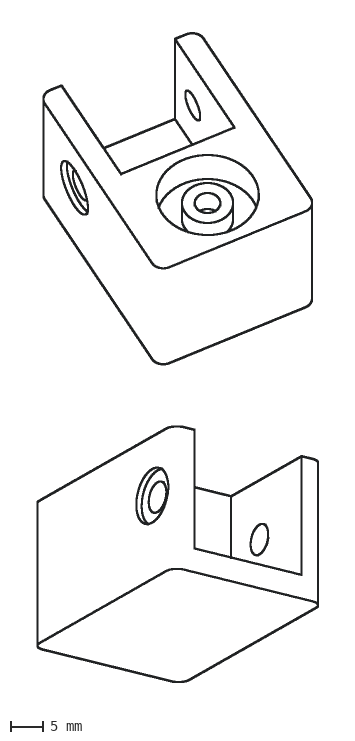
import cadquery as cq

length = 40.0
width = 28.0
height = 24.0
corner_radius = 2.0

wall = 4.0
slot_length = length / 2
floor_thickness = 4.0

front_hole_x = 12.0
back_hole_x = 6.0
cross_hole_z = 14.0
cross_hole_diameter = 5.0
counterbore_diameter = 9.0
counterbore_depth = 1.0

recess_x = 30.0
recess_diameter = 16.0
recess_depth = 6.0
boss_diameter = 8.0
boss_height = 4.0
boss_hole_diameter = 4.0


def upright_cylinder(diameter, bottom, top):
    """Cylinder along Z on the recess axis."""
    return (
        cq.Workplane("XY", origin=(recess_x, width / 2, bottom))
        .circle(diameter / 2)
        .extrude(top - bottom)
    )


def cross_cylinder(x, diameter, start, end):
    """Cylinder along Y at the cross hole height, from Y = start to Y = end."""
    return (
        cq.Workplane("XZ", origin=(x, start, cross_hole_z))
        .circle(diameter / 2)
        .extrude(start - end)
    )


def counterbored_hole(x, outer_face, inner_face, counterbore_floor):
    """Hole through one side wall, widened next to the outer face."""
    hole = cross_cylinder(x, cross_hole_diameter, outer_face, inner_face)
    counterbore = cross_cylinder(x, counterbore_diameter, outer_face, counterbore_floor)
    return hole.union(counterbore)


block = cq.Workplane("XY").box(length, width, height, centered=False)
block = block.edges("|Z").fillet(corner_radius)

slot = cq.Workplane("XY", origin=(0, wall, floor_thickness)).box(
    slot_length, width - 2 * wall, height - floor_thickness, centered=False
)

recess_floor = height - recess_depth
recess = upright_cylinder(recess_diameter, recess_floor, height)
boss_top = recess_floor + boss_height
boss = upright_cylinder(boss_diameter, recess_floor, boss_top)
boss_hole = upright_cylinder(boss_hole_diameter, recess_floor, boss_top)

front_hole = counterbored_hole(front_hole_x, 0, wall, counterbore_depth)
back_hole = counterbored_hole(back_hole_x, width, width - wall, width - counterbore_depth)

result = (
    block.cut(slot)
    .cut(recess)
    .union(boss)
    .cut(boss_hole)
    .cut(front_hole)
    .cut(back_hole)
)